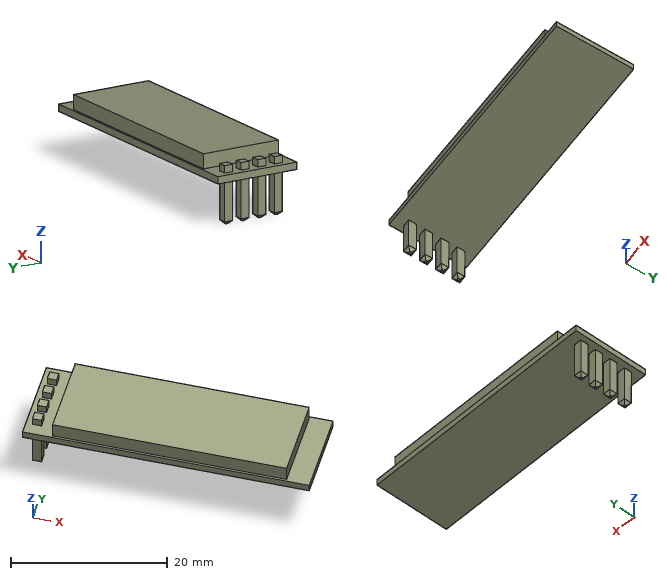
import cadquery as cq

board_length = 38.0
board_width = 12.0
board_thickness = 1.0

panel_length = 31.0
panel_width = 11.4
panel_height = 2.0
panel_inset = 3.9

pin_count = 4
pin_pitch = 2.5
pin_row_shift = 0.05
pin_side = 1.2
pin_inset = 1.5
pin_rise = 1.0
pin_drop = 6.0
tip_height = 0.45
tip_side = 0.3


def make_board():
    return cq.Workplane("XY").box(
        board_length, board_width, board_thickness, centered=(True, True, False)
    )


def make_panel():
    center_x = -board_length / 2 + panel_inset + panel_length / 2
    return (
        cq.Workplane("XY", origin=(center_x, 0, board_thickness))
        .rect(panel_length, panel_width)
        .extrude(panel_height)
    )


def make_pin(center_y):
    """Square pin with a tapered, flat-ended tip at the bottom."""
    center_x = -board_length / 2 + pin_inset
    shank_bottom = tip_height - pin_drop
    shank_top = board_thickness + pin_rise
    shank = (
        cq.Workplane("XY", origin=(center_x, center_y, shank_bottom))
        .rect(pin_side, pin_side)
        .extrude(shank_top - shank_bottom)
    )
    tip = (
        cq.Workplane("XY", origin=(center_x, center_y, -pin_drop))
        .rect(tip_side, tip_side)
        .workplane(offset=tip_height)
        .rect(pin_side, pin_side)
        .loft(ruled=True)
    )
    return shank.union(tip)


result = make_board().union(make_panel())
for index in range(pin_count):
    pin_y = (index - (pin_count - 1) / 2) * pin_pitch + pin_row_shift
    result = result.union(make_pin(pin_y))